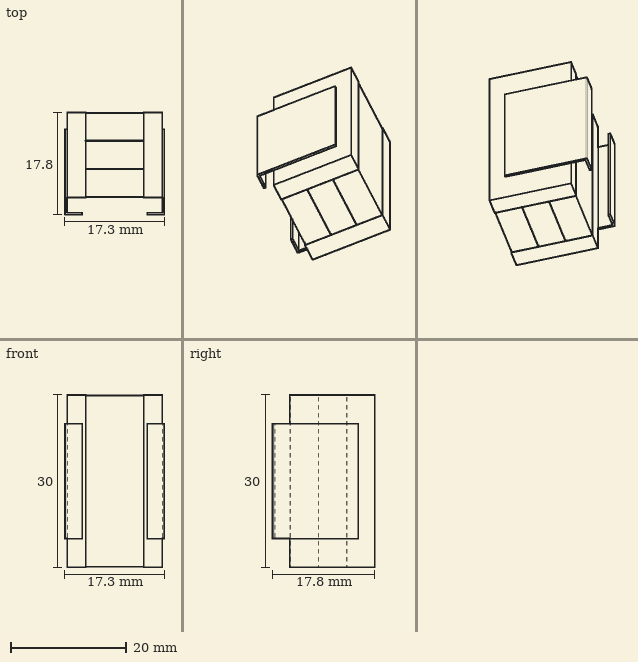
import cadquery as cq

overall_width = 17.3
overall_depth = 17.8
height = 30.0

lead_thickness = 0.4
lead_height = 20.0
lead_depth = 14.9
foot_length = 3.0
bend_radius = 0.18

standoff = 3.0
middle_width = 10.08
middle_recess = 0.1
layer_gap = 0.05
layer_count = 3

block_width = overall_width - 2 * lead_thickness
block_depth = overall_depth - standoff
cap_width = (block_width - middle_width) / 2
cap_offset = (middle_width + cap_width) / 2
middle_depth = block_depth - 2 * middle_recess
middle_height = height - 2 * middle_recess
layer_depth = (middle_depth - (layer_count - 1) * layer_gap) / layer_count
layer_pitch = layer_depth + layer_gap

foot_face_y = -block_depth / 2 - standoff


def make_layer(center_y):
    """Flat slab that spans the space between the end caps."""
    return cq.Workplane("XY").box(middle_width, layer_depth, middle_height).translate((0, center_y, 0))


def make_housing():
    """End caps joined by the two outer layers, leaving a window through Z for the core."""
    housing = cq.Workplane("XY")
    for side in (-1, 1):
        cap = cq.Workplane("XY").box(cap_width, block_depth, height).translate((side * cap_offset, 0, 0))
        housing = housing.union(cap)
    for side in (-1, 1):
        housing = housing.union(make_layer(side * layer_pitch))
    return housing


def make_core():
    """Middle layer, held between the end caps with a narrow gap to each outer layer."""
    return make_layer(0)


def make_lead(side):
    """L-shaped lead on the -X (side = -1) or +X (side = 1) face of the housing."""
    outer_x = side * overall_width / 2
    inner_x = outer_x - side * lead_thickness
    foot_tip_x = outer_x - side * foot_length
    foot_back_y = foot_face_y + lead_thickness
    lead_end_y = foot_face_y + lead_depth
    outline = [
        (outer_x, foot_face_y),
        (foot_tip_x, foot_face_y),
        (foot_tip_x, foot_back_y),
        (inner_x, foot_back_y),
        (inner_x, lead_end_y),
        (outer_x, lead_end_y),
    ]
    lead = cq.Workplane("XY").polyline(outline).close().extrude(lead_height / 2, both=True)
    outer_corner = cq.selectors.NearestToPointSelector((outer_x, foot_face_y, 0))
    return lead.edges("|Z").edges(outer_corner).fillet(bend_radius)


housing = make_housing().solids().val()
core = make_core().solids().val()
leads = [make_lead(side).solids().val() for side in (-1, 1)]

result = cq.Compound.makeCompound([housing, core, *leads])